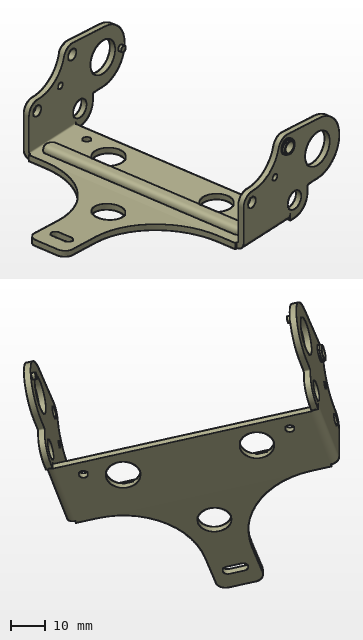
import cadquery as cq
import math

sheet = 2.0
bend_inner_radius = 0.5
bend_outer_radius = bend_inner_radius + sheet
total_width = 83.8
boss_height = 1.1
plate_outer_x = total_width / 2 - boss_height
plate_inner_x = plate_outer_x - sheet

base_half_width = plate_outer_x - bend_outer_radius
base_depth = 21.8
base_large_hole_diameter = 10.0
base_large_hole_x = 20.0
base_large_hole_y = 13.75
base_small_hole_diameter = 2.6
base_small_hole_x = 30.9
base_small_hole_y = 17.2

rib_length = 74.75
rib_width = 5.2
rib_height = 2.0
rib_edge_radius = 1.85
rib_y = 6.1

arm_angle = 4.4
fold_axis_z = bend_outer_radius
arm_length = 38.9
arm_width = 14.1
arm_flare_radius = 25.0
arm_corner_radius = 3.0
arm_hole_diameter = 9.8
arm_hole_distance = 10.8
slot_length = 7.55
slot_width = 3.0
slot_distance = 32.0

rear_centre = (34.1, 18.6)
rear_radius = 10.0
rear_hole_diameter = 11.15
top_centre = (20.2, 26.1)
top_radius = 3.85
boss_hole_diameter = 3.7
lower_centre = (23.7, 6.2)
lower_radius = 5.95
lower_hole_diameter = 6.0
plate_front_y = 0.6
front_radius = 3.8
front_centre = (plate_front_y + front_radius, 14.6)
front_hole_diameter = 3.5
pilot_centre = (14.8, 18.1)
pilot_hole_diameter = 2.1
saddle_start_y = 5.3
notch_radius = 0.5

boss_diameter = 5.1
boss_chamfer_axial = 0.545
boss_chamfer_radial = 0.25
pin_diameter = 2.1
pin_height = 1.1
pin_centre = (42.15, 17.9)


def point_on_circle(centre, radius, angle):
    return (centre[0] + radius * math.cos(angle), centre[1] + radius * math.sin(angle))


def make_base():
    large_holes = [(-base_large_hole_x, base_large_hole_y), (base_large_hole_x, base_large_hole_y)]
    small_holes = [(-base_small_hole_x, base_small_hole_y), (base_small_hole_x, base_small_hole_y)]
    base = cq.Workplane("XY").rect(2 * base_half_width, base_depth).extrude(sheet)
    base = base.translate((0, base_depth / 2, 0))
    large_cutters = cq.Workplane("XY").pushPoints(large_holes).circle(base_large_hole_diameter / 2)
    small_cutters = cq.Workplane("XY").pushPoints(small_holes).circle(base_small_hole_diameter / 2)
    return base.cut(large_cutters.extrude(sheet)).cut(small_cutters.extrude(sheet))


def make_rib():
    rib = cq.Workplane("XY").slot2D(rib_length, rib_width).extrude(sheet + rib_height)
    return rib.faces(">Z").edges().fillet(rib_edge_radius).translate((0, rib_y, 0))


def make_arm():
    half_width = arm_width / 2
    flare_x = half_width + arm_flare_radius
    flare_middle_x = flare_x - arm_flare_radius * math.sin(math.pi / 4)
    flare_middle_y = -arm_flare_radius * (1 - math.cos(math.pi / 4))
    arm = (
        cq.Workplane("XY")
        .moveTo(-flare_x, 0)
        .threePointArc((-flare_middle_x, flare_middle_y), (-half_width, -arm_flare_radius))
        .lineTo(-half_width, -arm_length)
        .lineTo(half_width, -arm_length)
        .lineTo(half_width, -arm_flare_radius)
        .threePointArc((flare_middle_x, flare_middle_y), (flare_x, 0))
        .close()
        .extrude(sheet)
    )
    arm = arm.edges("|Z and <Y").fillet(arm_corner_radius)
    hole = cq.Workplane("XY").center(0, -arm_hole_distance).circle(arm_hole_diameter / 2).extrude(sheet)
    slot = cq.Workplane("XY").center(0, -slot_distance).slot2D(slot_length, slot_width).extrude(sheet)
    return arm.cut(hole).cut(slot).rotate((0, 0, fold_axis_z), (1, 0, fold_axis_z), -arm_angle)


def make_fold():
    return (
        cq.Workplane("XZ")
        .center(0, sheet / 2)
        .rect(2 * base_half_width, sheet)
        .revolve(arm_angle, (0.8, fold_axis_z - sheet / 2), (0, fold_axis_z - sheet / 2))
    )


def plate_cylinder(centre, diameter, start_x, length):
    return cq.Workplane("YZ", origin=(start_x, 0, 0)).center(*centre).circle(diameter / 2).extrude(length)


def make_plate():
    lobe_dy = rear_centre[0] - top_centre[0]
    lobe_dz = rear_centre[1] - top_centre[1]
    lobe_spacing = math.hypot(lobe_dy, lobe_dz)
    tangent_angle = math.atan2(lobe_dz, lobe_dy) + math.acos((top_radius - rear_radius) / lobe_spacing)

    level_z = front_centre[1] + front_radius
    saddle_dy = top_centre[0] - saddle_start_y
    saddle_dz = top_centre[1] - level_z
    saddle_radius = (saddle_dy**2 + saddle_dz**2 - top_radius**2) / (2 * (top_radius + saddle_dz))
    saddle_centre = (saddle_start_y, level_z + saddle_radius)
    saddle_angle = math.atan2(top_centre[1] - saddle_centre[1], saddle_dy)
    saddle_end = point_on_circle(saddle_centre, saddle_radius, saddle_angle)
    saddle_middle = point_on_circle(saddle_centre, saddle_radius, (saddle_angle - math.pi / 2) / 2)

    top_arc_end = saddle_angle + math.pi
    top_arc_middle = (tangent_angle + top_arc_end) / 2
    rear_back = (rear_centre[0] + rear_radius, rear_centre[1])
    rear_bottom_z = rear_centre[1] - rear_radius
    lower_back_y = lower_centre[0] + lower_radius
    lower_bottom_z = lower_centre[1] - lower_radius

    plate = (
        cq.Workplane("YZ", origin=(plate_inner_x, 0, 0))
        .moveTo(plate_front_y, bend_outer_radius)
        .lineTo(plate_front_y, front_centre[1])
        .threePointArc(
            point_on_circle(front_centre, front_radius, math.radians(135)),
            (front_centre[0], level_z),
        )
        .lineTo(saddle_start_y, level_z)
        .threePointArc(saddle_middle, saddle_end)
        .threePointArc(
            point_on_circle(top_centre, top_radius, top_arc_middle),
            point_on_circle(top_centre, top_radius, tangent_angle),
        )
        .lineTo(*point_on_circle(rear_centre, rear_radius, tangent_angle))
        .threePointArc(rear_back, (rear_centre[0], rear_bottom_z))
        .lineTo(lower_back_y + notch_radius, rear_bottom_z)
        .radiusArc((lower_back_y, rear_bottom_z - notch_radius), -notch_radius)
        .lineTo(lower_back_y, lower_centre[1])
        .threePointArc(
            point_on_circle(lower_centre, lower_radius, math.radians(-45)),
            (lower_centre[0], lower_bottom_z),
        )
        .lineTo(base_depth, lower_bottom_z)
        .lineTo(base_depth, bend_outer_radius)
        .close()
        .extrude(sheet)
    )

    boss = plate_cylinder(top_centre, boss_diameter, plate_outer_x, boss_height)
    boss = boss.faces(">X").edges().chamfer(boss_chamfer_axial, boss_chamfer_radial)
    pin = plate_cylinder(pin_centre, pin_diameter, plate_inner_x, -pin_height)
    plate = plate.union(boss).union(pin)

    holes = [
        (rear_centre, rear_hole_diameter),
        (top_centre, boss_hole_diameter),
        (lower_centre, lower_hole_diameter),
        (front_centre, front_hole_diameter),
        (pilot_centre, pilot_hole_diameter),
    ]
    for centre, diameter in holes:
        plate = plate.cut(plate_cylinder(centre, diameter, plate_inner_x, sheet + boss_height))
    return plate


def make_bend():
    centre = (base_half_width, bend_outer_radius)
    middle_angle = math.radians(-45)
    return (
        cq.Workplane("XZ", origin=(0, base_depth, 0))
        .moveTo(base_half_width, 0)
        .threePointArc(
            point_on_circle(centre, bend_outer_radius, middle_angle),
            (plate_outer_x, bend_outer_radius),
        )
        .lineTo(plate_inner_x, bend_outer_radius)
        .threePointArc(
            point_on_circle(centre, bend_inner_radius, middle_angle),
            (base_half_width, sheet),
        )
        .close()
        .extrude(base_depth - plate_front_y)
    )


side = make_plate().union(make_bend())
result = make_base().union(make_rib()).union(make_fold()).union(make_arm()).union(side).union(side.mirror("YZ"))